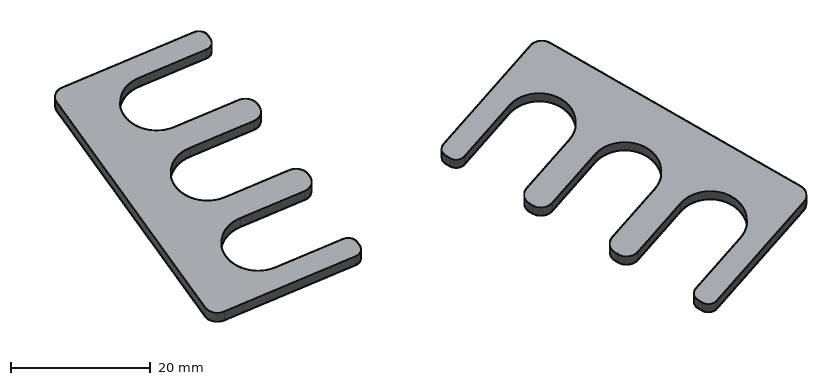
import cadquery as cq

length = 48.0
width = 25.0
thickness = 2.0
base_corner_radius = 2.0

slot_count = 3
slot_width = 10.5
inner_finger_width = 4.5
web_depth = 7.25
slot_pitch = slot_width + inner_finger_width
slot_radius = slot_width / 2
slot_center_y = web_depth + slot_radius

outer_tip_radius = 1.5
inner_tip_radius = 2.0


def make_plate():
    plate = cq.Workplane("XY").box(length, width, thickness, centered=(True, False, False))
    return plate.edges("|Z and <Y").fillet(base_corner_radius)


def make_slot(center_x):
    """Round-bottomed cutter that runs out through the +Y edge."""
    return (
        cq.Workplane("XY")
        .moveTo(center_x - slot_radius, width)
        .lineTo(center_x - slot_radius, slot_center_y)
        .threePointArc((center_x, web_depth), (center_x + slot_radius, slot_center_y))
        .lineTo(center_x + slot_radius, width)
        .close()
        .extrude(thickness)
    )


def tip_edges(body, nearest, farthest):
    """Vertical edges at the +Y end, within a range of distances from the middle."""
    tips = body.faces(">Y").edges("|Z")
    return tips.filter(lambda edge: nearest < abs(edge.Center().x) < farthest)


body = make_plate()
for index in range(slot_count):
    body = body.cut(make_slot((index - (slot_count - 1) / 2) * slot_pitch))

outer_slot_x = (slot_count - 1) / 2 * slot_pitch
body = tip_edges(body, outer_slot_x, length).fillet(outer_tip_radius)
body = tip_edges(body, 0, outer_slot_x).fillet(inner_tip_radius)

result = body